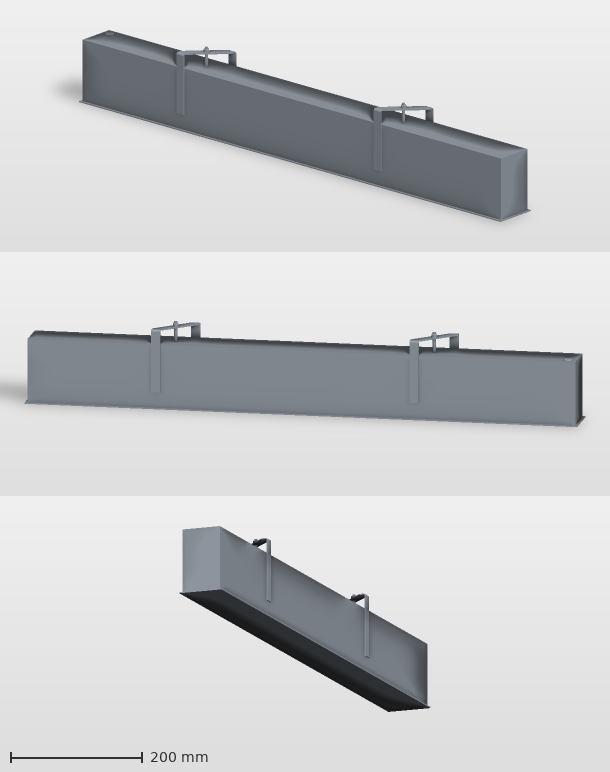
import cadquery as cq
import math

FLANGE_LENGTH = 854.0
FLANGE_WIDTH = 69.0
FLANGE_THICKNESS = 2.0
HOUSING_LENGTH = 847.0
HOUSING_WIDTH = 61.0
HOUSING_TOP = 100.0

PLUG_DIAMETER = 14.5
PLUG_HEIGHT = 2.0
PLUG_CHAMFER = 1.0
PLUG_FROM_END = 14.0
PLUG_FROM_SIDE = 14.5

BRACKET_SPACING = 400.0
STRAP_THICKNESS = 2.0
STRAP_WIDTH = 14.5
STRAP_TOP = 123.0
LEG_BOTTOM = 26.0
LEG_SKEW = 50.0
BEND_RADIUS = 3.0

ROD_DIAMETER = 4.9
ROD_TOP = 131.0
NUT_DIAMETER = 8.5
NUT_TOP_DIAMETER = 7.1
NUT_HEIGHT = 5.0
NUT_CHAMFER = (NUT_DIAMETER - NUT_TOP_DIAMETER) / 2

BRACKET_WIDTH = HOUSING_WIDTH + 2 * STRAP_THICKNESS
LEG_LENGTH = STRAP_TOP - LEG_BOTTOM


def make_housing():
    flange = cq.Workplane("XY").box(
        FLANGE_LENGTH, FLANGE_WIDTH, FLANGE_THICKNESS, centered=(True, True, False)
    )
    body = cq.Workplane("XY").box(
        HOUSING_LENGTH, HOUSING_WIDTH, HOUSING_TOP, centered=(True, True, False)
    )
    return flange.union(body)


def make_plug():
    plug_x = -HOUSING_LENGTH / 2 + PLUG_FROM_END
    plug_y = HOUSING_WIDTH / 2 - PLUG_FROM_SIDE
    return (
        cq.Workplane("XY", origin=(plug_x, plug_y, HOUSING_TOP))
        .circle(PLUG_DIAMETER / 2)
        .extrude(PLUG_HEIGHT)
        .faces(">Z")
        .chamfer(PLUG_CHAMFER)
    )


def make_leg(side):
    """Leg lying against the -Y side (side = -1) or the +Y side (side = 1)."""
    leg_x = side * LEG_SKEW / 2
    leg_y = side * (BRACKET_WIDTH - STRAP_THICKNESS) / 2
    return cq.Workplane("XY", origin=(leg_x, leg_y, LEG_BOTTOM)).box(
        STRAP_WIDTH, STRAP_THICKNESS, LEG_LENGTH, centered=(True, True, False)
    )


def make_strap():
    """Strap crossing the housing at 45 degrees, with square ends above the legs."""
    outer_x = (LEG_SKEW + STRAP_WIDTH) / 2
    inner_x = (LEG_SKEW - STRAP_WIDTH) / 2
    end_y = BRACKET_WIDTH / 2
    edge_offset = STRAP_WIDTH / math.sqrt(2)
    outer_turn_y = outer_x - edge_offset
    inner_turn_y = inner_x + edge_offset
    outline = [
        (-outer_x, -end_y),
        (-inner_x, -end_y),
        (-inner_x, -inner_turn_y),
        (outer_x, outer_turn_y),
        (outer_x, end_y),
        (inner_x, end_y),
        (inner_x, inner_turn_y),
        (-outer_x, -outer_turn_y),
    ]
    return (
        cq.Workplane("XY", origin=(0, 0, STRAP_TOP - STRAP_THICKNESS))
        .polyline(outline)
        .close()
        .extrude(STRAP_THICKNESS)
    )


def make_bracket(center_x):
    """Strap, legs, rod and nut as one solid, centred on X = center_x."""
    frame = make_strap().union(make_leg(-1)).union(make_leg(1))
    frame = frame.edges(">Z and (>Y or <Y)").fillet(BEND_RADIUS)
    rod = (
        cq.Workplane("XY", origin=(0, 0, HOUSING_TOP))
        .circle(ROD_DIAMETER / 2)
        .extrude(ROD_TOP - HOUSING_TOP)
    )
    nut = (
        cq.Workplane("XY", origin=(0, 0, STRAP_TOP))
        .circle(NUT_DIAMETER / 2)
        .extrude(NUT_HEIGHT)
        .faces(">Z")
        .chamfer(NUT_CHAMFER)
    )
    return frame.union(rod).union(nut).translate((center_x, 0, 0))


housing = make_housing()
plug = make_plug()
brackets = [make_bracket(side * BRACKET_SPACING / 2) for side in (-1, 1)]

result = cq.Compound.makeCompound(
    [housing.val(), plug.val(), *[bracket.val() for bracket in brackets]]
)